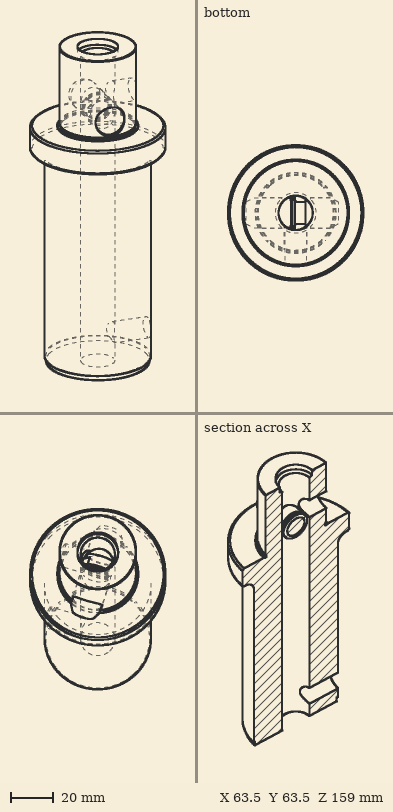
import cadquery as cq

spigot_height = 40.0
overall_length = 159.0
bottom_z = spigot_height - overall_length

flange_diameter = 63.5
flange_thickness = 12.0
flange_chamfer = 1.0
shank_diameter = 50.0
shank_fillet = 5.0
end_step_diameter = 48.5
end_step_height = 2.4

spigot_diameter = 36.0
spigot_top_chamfer = 0.3
relief_inner_diameter = 35.0
relief_outer_diameter = 38.0
relief_height = 1.4
relief_cone_height = 1.0
relief_depth = 0.4

bore_diameter = 16.0
mouth_diameter = 19.0
mouth_depth = 3.0
mouth_taper_height = 1.0

cross_bore_z = 8.9
pin_diameter = 14.1
pin_clearance = 0.2
cross_bore_diameter = pin_diameter + 2 * pin_clearance
pin_tip_diameter = 10.2
pin_cone_length = 3.5
pin_edge_radius = 0.8
left_tip_x = -23.3
right_tip_x = 20.0
left_pin_end_x = -2.3
groove_diameter = 12.0
collar_start_x = -1.4
collar_end_x = -0.3
collar_diameter = 14.0
stem_diameter = 10.4
stem_root_radius = 0.6
right_pin_head_x = 4.7

spigot_hole_diameter = 10.8
spigot_hole_z = 15.8
shank_hole_diameter = 10.0
shank_hole_z = bottom_z + 13.2


def make_turned_body():
    """Revolved profile of shank, flange and spigot."""
    flange_r = flange_diameter / 2
    shank_r = shank_diameter / 2
    step_r = end_step_diameter / 2
    spigot_r = spigot_diameter / 2
    relief_inner_r = relief_inner_diameter / 2
    relief_outer_r = relief_outer_diameter / 2
    step_top_z = bottom_z + end_step_height
    diagonal = shank_fillet * (1 - 0.5 ** 0.5)
    profile = (
        cq.Workplane("XZ")
        .moveTo(0, bottom_z)
        .lineTo(step_r, bottom_z)
        .lineTo(step_r, step_top_z)
        .lineTo(shank_r, step_top_z)
        .lineTo(shank_r, -flange_thickness - shank_fillet)
        .threePointArc(
            (shank_r + diagonal, -flange_thickness - diagonal),
            (shank_r + shank_fillet, -flange_thickness),
        )
        .lineTo(flange_r - flange_chamfer, -flange_thickness)
        .lineTo(flange_r, -flange_thickness + flange_chamfer)
        .lineTo(flange_r, -flange_chamfer)
        .lineTo(flange_r - flange_chamfer, 0)
        .lineTo(relief_outer_r, 0)
        .lineTo(relief_outer_r - relief_depth, -relief_depth)
        .lineTo(relief_inner_r, -relief_depth)
        .lineTo(relief_inner_r, relief_height - relief_cone_height)
        .lineTo(spigot_r, relief_height)
        .lineTo(spigot_r, spigot_height - spigot_top_chamfer)
        .lineTo(spigot_r - spigot_top_chamfer, spigot_height)
        .lineTo(0, spigot_height)
        .close()
    )
    return profile.revolve(360, (0, 0, 0), (0, 1, 0))


def make_bore():
    """Through bore along Z with its tapered mouth."""
    bore_r = bore_diameter / 2
    mouth_r = mouth_diameter / 2
    mouth_z = spigot_height - mouth_depth
    return (
        cq.Workplane("XZ")
        .moveTo(0, bottom_z)
        .lineTo(bore_r, bottom_z)
        .lineTo(bore_r, mouth_z - mouth_taper_height)
        .lineTo(mouth_r, mouth_z)
        .lineTo(mouth_r, spigot_height)
        .lineTo(0, spigot_height)
        .close()
        .revolve(360, (0, 0, 0), (0, 1, 0))
    )


def make_cross_bore():
    """Hole along X through the spigot that carries the pin."""
    return (
        cq.Workplane("YZ", origin=(-spigot_diameter / 2, 0, cross_bore_z))
        .circle(cross_bore_diameter / 2)
        .extrude(spigot_diameter)
    )


def make_radial_hole(diameter, z, outer_diameter):
    """Hole from the bore axis out through the +Y wall."""
    return (
        cq.Workplane("XZ", origin=(0, 0, z))
        .circle(diameter / 2)
        .extrude(-outer_diameter / 2)
    )


def make_housing():
    """Shank, flange and spigot in one piece with all its holes."""
    return (
        make_turned_body()
        .cut(make_bore())
        .cut(make_cross_bore())
        .cut(make_radial_hole(spigot_hole_diameter, spigot_hole_z, spigot_diameter))
        .cut(make_radial_hole(shank_hole_diameter, shank_hole_z, shank_diameter))
    )


def revolve_about_pin_axis(outline):
    """Revolve a half outline about the cross bore axis and round both edges of its conical tip."""
    body = outline.close().revolve(360, (0, 0, 0), (1, 0, 0))
    return body.faces("%CONE").edges("%CIRCLE").fillet(pin_edge_radius)


def make_left_pin():
    """Plain pin half with a conical tip on the -X side."""
    pin_r = pin_diameter / 2
    outline = (
        cq.Workplane("XZ", origin=(0, 0, cross_bore_z))
        .moveTo(left_tip_x, 0)
        .lineTo(left_tip_x, pin_tip_diameter / 2)
        .lineTo(left_tip_x + pin_cone_length, pin_r)
        .lineTo(left_pin_end_x, pin_r)
        .lineTo(left_pin_end_x, 0)
    )
    return revolve_about_pin_axis(outline)


def make_right_pin():
    """Pin half with a conical tip on the +X side and a collared stem that butts on the left half."""
    pin_r = pin_diameter / 2
    groove_r = groove_diameter / 2
    collar_r = collar_diameter / 2
    stem_r = stem_diameter / 2
    root_r = stem_root_radius
    outline = (
        cq.Workplane("XZ", origin=(0, 0, cross_bore_z))
        .moveTo(left_pin_end_x, 0)
        .lineTo(left_pin_end_x, groove_r)
        .lineTo(collar_start_x, groove_r)
        .lineTo(collar_start_x, collar_r)
        .lineTo(collar_end_x, collar_r)
        .lineTo(collar_end_x, stem_r + root_r)
        .radiusArc((collar_end_x + root_r, stem_r), -root_r)
        .lineTo(right_pin_head_x - root_r, stem_r)
        .radiusArc((right_pin_head_x, stem_r + root_r), -root_r)
        .lineTo(right_pin_head_x, pin_r)
        .lineTo(right_tip_x - pin_cone_length, pin_r)
        .lineTo(right_tip_x, pin_tip_diameter / 2)
        .lineTo(right_tip_x, 0)
    )
    return revolve_about_pin_axis(outline)


housing = make_housing()
left_pin = make_left_pin()
right_pin = make_right_pin()

result = cq.Compound.makeCompound([housing.val(), left_pin.val(), right_pin.val()])